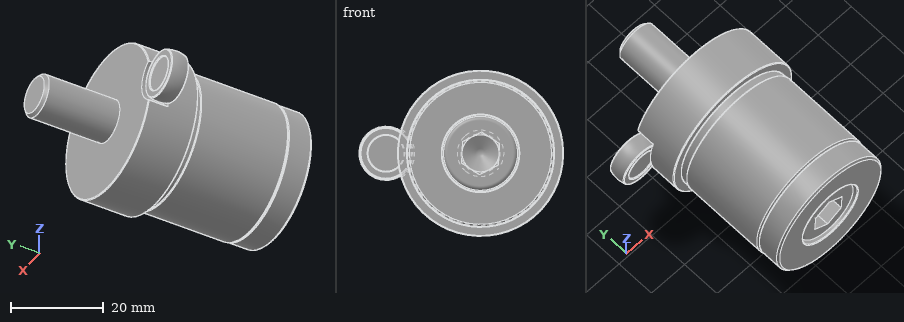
import cadquery as cq
import math

TOTAL_LENGTH = 60.5
EDGE_BREAK = 0.2

CAP_RADIUS = 15.8
CAP_LENGTH = 6.0
CAP_CHAMFER = 0.5

BODY_RADIUS = 16.0
BODY_SHOULDER = 28.15
BODY_CHAMFER = 0.4
NECK_RADIUS = CAP_RADIUS

COLLAR_RADIUS = 17.9
COLLAR_START = 30.0
COLLAR_LENGTH = 12.0
COLLAR_END = COLLAR_START + COLLAR_LENGTH

SHAFT_RADIUS = 5.0
SHAFT_CHAMFER = 0.8
HEAD_RADIUS = 8.0
HEAD_FILLET = 0.9
HEAD_FACE = 0.6
HEAD_HEIGHT = 10.0
HEAD_SEAT = HEAD_FACE + HEAD_HEIGHT
HEAD_BORE_RADIUS = 8.3
HEX_SIDES = 6
HEX_HALF_STEP = 180.0 / HEX_SIDES
HEX_ACROSS_FLATS = 8.0
HEX_DEPTH = 5.0
HEX_TURN = 3.1
DRILL_POINT_ANGLE = 120.0

RING_X = -20.4
RING_RADIUS = 5.85
RING_SHOULDER_RADIUS = 5.55
RING_BORE_RADIUS = 3.9
RING_THICKNESS = 4.3
RING_START = 37.15
RING_END = RING_START + RING_THICKNESS
RING_POCKET_RADIUS = 6.2
INSERT_RECESS = 0.25


def cylinder(radius, start, end, x=0.0):
    """Cylinder along Y from start to end."""
    return cq.Workplane("XZ", origin=(x, start, 0)).circle(radius).extrude(start - end)


def turned(points):
    """Solid of revolution about the Y axis from (radius, Y) points."""
    return cq.Workplane("XY").polyline(points).close().revolve(360, (0, 0, 0), (0, 1, 0))


def make_cap():
    cap = turned([
        (0, 0),
        (CAP_RADIUS - CAP_CHAMFER, 0),
        (CAP_RADIUS, CAP_CHAMFER),
        (CAP_RADIUS, CAP_LENGTH - EDGE_BREAK),
        (CAP_RADIUS - EDGE_BREAK, CAP_LENGTH),
        (0, CAP_LENGTH),
    ])
    cap = cap.cut(cylinder(HEAD_BORE_RADIUS, 0, CAP_LENGTH))
    bore_rim = cq.selectors.RadiusNthSelector(0)
    return cap.faces("<Y").edges(bore_rim).chamfer(EDGE_BREAK)


def make_body():
    body = turned([
        (0, CAP_LENGTH),
        (BODY_RADIUS - BODY_CHAMFER, CAP_LENGTH),
        (BODY_RADIUS, CAP_LENGTH + BODY_CHAMFER),
        (BODY_RADIUS, BODY_SHOULDER - EDGE_BREAK),
        (NECK_RADIUS, BODY_SHOULDER),
        (NECK_RADIUS, COLLAR_START - EDGE_BREAK),
        (NECK_RADIUS - EDGE_BREAK, COLLAR_START),
        (0, COLLAR_START),
    ])
    body = body.cut(cylinder(HEAD_BORE_RADIUS, CAP_LENGTH, HEAD_SEAT))
    return body.cut(cylinder(SHAFT_RADIUS, HEAD_SEAT, COLLAR_START))


def make_collar():
    collar = cylinder(COLLAR_RADIUS, COLLAR_START, COLLAR_END).edges().chamfer(EDGE_BREAK)
    collar = collar.cut(cylinder(SHAFT_RADIUS, COLLAR_START, COLLAR_END))
    return collar.cut(cylinder(RING_POCKET_RADIUS, RING_START, COLLAR_END, RING_X))


def make_hex_socket():
    """Hexagonal recess ending in a drill point."""
    corner_diameter = HEX_ACROSS_FLATS / math.cos(math.radians(HEX_HALF_STEP))
    hexagon = (
        cq.Workplane("XZ", origin=(0, HEAD_FACE, 0))
        .polygon(HEX_SIDES, corner_diameter)
        .extrude(-HEX_DEPTH)
        .rotate((0, 0, 0), (0, 1, 0), HEX_HALF_STEP + HEX_TURN)
    )
    drill_radius = HEX_ACROSS_FLATS / 2
    floor = HEAD_FACE + HEX_DEPTH
    tip = floor + drill_radius / math.tan(math.radians(DRILL_POINT_ANGLE / 2))
    return hexagon.union(turned([(0, floor), (drill_radius, floor), (0, tip)]))


def make_screw():
    head = cylinder(HEAD_RADIUS, HEAD_FACE, HEAD_SEAT).faces("<Y").edges().fillet(HEAD_FILLET)
    shaft = cylinder(SHAFT_RADIUS, HEAD_SEAT, TOTAL_LENGTH).faces(">Y").edges().chamfer(SHAFT_CHAMFER)
    return head.union(shaft).cut(make_hex_socket())


def make_ring():
    face_radius = RING_SHOULDER_RADIUS - EDGE_BREAK
    bore_rim_radius = RING_BORE_RADIUS + EDGE_BREAK
    rear_edge = RING_THICKNESS - EDGE_BREAK
    return (
        cq.Workplane("XY", origin=(RING_X, RING_START, 0))
        .moveTo(RING_BORE_RADIUS, EDGE_BREAK)
        .lineTo(bore_rim_radius, 0)
        .lineTo(face_radius, 0)
        .lineTo(RING_SHOULDER_RADIUS, EDGE_BREAK)
        .threePointArc((RING_RADIUS, RING_THICKNESS / 2), (RING_SHOULDER_RADIUS, rear_edge))
        .lineTo(face_radius, RING_THICKNESS)
        .lineTo(bore_rim_radius, RING_THICKNESS)
        .lineTo(RING_BORE_RADIUS, rear_edge)
        .close()
        .revolve(360, (0, 0, 0), (0, 1, 0))
    )


def make_insert():
    return cylinder(RING_BORE_RADIUS, RING_START + INSERT_RECESS, RING_END - INSERT_RECESS, RING_X)


cap = make_cap()
body = make_body()
collar = make_collar()
screw = make_screw()
ring = make_ring()
insert = make_insert()

result = cq.Compound.makeCompound([
    cap.val(),
    body.val(),
    collar.val(),
    screw.val(),
    ring.val(),
    insert.val(),
])